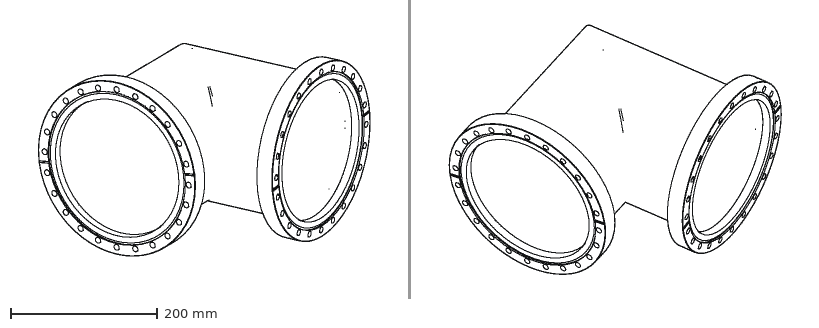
import cadquery as cq
import math

overall_length = 329.8
flange_diameter = 253.3
leg_length = overall_length - flange_diameter / 2

flange_thickness = 24.7
bore_diameter = 199.2
rim_chamfer = 0.5
socket_depth = 11.5

seat_diameter = 221.5
land_diameter = 215.7
land_depth = 1.3
seat_slope = 20.0
seat_depth = land_depth + (seat_diameter - land_diameter) / 2 * math.tan(math.radians(seat_slope))

bolt_count = 24
bolt_hole_diameter = 8.2
bolt_circle_diameter = 232.2
bolt_pitch_angle = 360 / bolt_count

groove_width = 2.3
groove_depth = 1.0
groove_angles = [bolt_pitch_angle / 2, bolt_pitch_angle / 2 + 180]

tube_diameter = 203.0
tube_reach = leg_length - flange_thickness + socket_depth
mitre_fillet = 3.3
crown_rise = 1.0
crown_height = tube_diameter / 2 - crown_rise


def make_flange():
    """Flange about the local Z axis: outer face on Z = 0, body toward -Z."""
    rim = flange_diameter / 2
    bore = bore_diameter / 2
    socket = tube_diameter / 2
    socket_floor = socket_depth - flange_thickness
    half_section = [
        (bore, -land_depth),
        (land_diameter / 2, -land_depth),
        (seat_diameter / 2, -seat_depth),
        (seat_diameter / 2, 0),
        (rim - rim_chamfer, 0),
        (rim, -rim_chamfer),
        (rim, -flange_thickness),
        (socket, -flange_thickness),
        (socket, socket_floor),
        (bore, socket_floor),
    ]
    body = cq.Workplane("XZ").polyline(half_section).close().revolve(360, (0, 0, 0), (0, 1, 0))

    bolt_holes = (
        cq.Workplane("XY")
        .polarArray(bolt_circle_diameter / 2, 0, 360, bolt_count)
        .circle(bolt_hole_diameter / 2)
        .extrude(-flange_thickness)
    )
    body = body.cut(bolt_holes)

    groove_start = (seat_diameter + land_diameter) / 4
    groove_length = rim - groove_start
    for angle in groove_angles:
        groove = (
            cq.Workplane("XY")
            .center(groove_start + groove_length / 2, 0)
            .rect(groove_length, groove_width)
            .extrude(-groove_depth)
            .rotate((0, 0, 0), (0, 0, 1), angle)
        )
        body = body.cut(groove)
    return body


def make_bend(diameter):
    """Solid round bar that turns from the -Y leg to the +X leg with a sharp 45 degree mitre."""
    radius = diameter / 2
    mitre_side = [
        (-radius, radius),
        (radius, -radius),
        (radius, -tube_reach),
        (-radius, -tube_reach),
    ]
    toward_minus_y = cq.Workplane("XY").polyline(mitre_side).close().extrude(radius, both=True)
    bar_length = radius + tube_reach
    leg_y = (
        cq.Workplane("XZ", origin=(0, radius, 0))
        .circle(radius)
        .extrude(bar_length)
        .intersect(toward_minus_y)
    )
    leg_x = leg_y.rotate((0, 0, 0), (1, -1, 0), 180)
    return leg_y.union(leg_x)


def make_tube():
    """Mitred tube, its outside mitre edge filleted except at the smooth top and bottom crowns."""
    sharp = make_bend(tube_diameter)
    span = 4 * overall_length
    middle_slab = cq.Workplane("XY").box(span, span, 2 * crown_height)
    filleted = sharp.intersect(middle_slab).edges("%ELLIPSE").fillet(mitre_fillet)
    crowns = sharp.cut(middle_slab)
    return filleted.union(crowns).cut(make_bend(bore_diameter))


flange_planes = [
    cq.Plane(origin=(0, -leg_length, 0), xDir=(1, 0, 0), normal=(0, -1, 0)),
    cq.Plane(origin=(leg_length, 0, 0), xDir=(0, 1, 0), normal=(1, 0, 0)),
]

tube = make_tube()

flanges = []
for plane in flange_planes:
    flanges.append(make_flange().solids().val().moved(cq.Location(plane)))

result = cq.Compound.makeCompound([tube.solids().val(), *flanges])